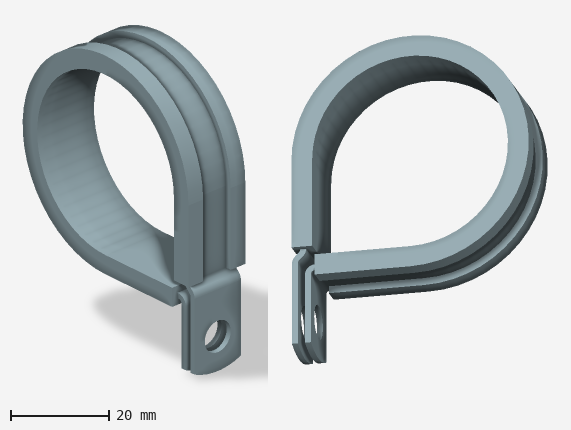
import cadquery as cq
import math

outer_radius = 24.95
inner_radius = 20.6
cushion_width = 15.75
groove_width = 7.65
groove_depth = 1.5
vertical_leg = 18.7
horizontal_leg = 20.05

strap_thickness = 1.25
strap_width = 12.8
strap_outer = outer_radius - groove_depth
strap_inner = strap_outer - strap_thickness

overall_height = 65.3
bottom_z = outer_radius - overall_height
inner_tab_face = 22.45
outer_tab_face = 25.2
elbow_inside_radius = 0.85
jog_inside_radius = 0.88
jog_angle = math.radians(45)
hole_diameter = 7.2
hole_above_bottom = 7.9
tab_end_rise = 1.4


def extrude_centred(profile, width):
    return profile.extrude(width / 2, both=True)


def loop_band(inside, outside, width):
    """Three-quarter loop with a straight leg at each end."""
    profile = (
        cq.Workplane("XZ")
        .moveTo(outside, -vertical_leg)
        .lineTo(outside, 0)
        .threePointArc((0, outside), (-outside, 0))
        .threePointArc((-outside * math.sqrt(0.5), -outside * math.sqrt(0.5)), (0, -outside))
        .lineTo(horizontal_leg, -outside)
        .lineTo(horizontal_leg, -inside)
        .lineTo(0, -inside)
        .threePointArc((-inside * math.sqrt(0.5), -inside * math.sqrt(0.5)), (-inside, 0))
        .threePointArc((0, inside), (inside, 0))
        .lineTo(inside, -vertical_leg)
        .close()
    )
    return extrude_centred(profile, width)


def inner_tab():
    """Strap turned down from the horizontal leg by a rounded elbow."""
    elbow_outside_radius = elbow_inside_radius + strap_thickness
    bend_x = inner_tab_face - elbow_outside_radius
    bend_z = -strap_inner - elbow_outside_radius
    profile = (
        cq.Workplane("XZ")
        .moveTo(horizontal_leg, -strap_inner)
        .lineTo(bend_x, -strap_inner)
        .tangentArcPoint((inner_tab_face, bend_z), relative=False)
        .lineTo(inner_tab_face, bottom_z)
        .lineTo(inner_tab_face - strap_thickness, bottom_z)
        .lineTo(inner_tab_face - strap_thickness, bend_z)
        .tangentArcPoint((bend_x, -strap_outer), relative=False)
        .lineTo(horizontal_leg, -strap_outer)
        .close()
    )
    return extrude_centred(profile, strap_width)


def outer_tab():
    """Strap jogged outward below the vertical leg by two opposite bends."""
    near = jog_inside_radius
    far = jog_inside_radius + strap_thickness
    sine = math.sin(jog_angle)
    cosine = math.cos(jog_angle)
    offset = outer_tab_face - strap_outer
    slope_x = offset - (near + far) * (1 - cosine)
    slope_drop = slope_x / math.tan(jog_angle)
    jog_drop = (near + far) * sine + slope_drop
    end_z = -vertical_leg - jog_drop
    inner_face = outer_tab_face - strap_thickness
    outer_upper_end = (strap_outer + near * (1 - cosine), -vertical_leg - near * sine)
    outer_lower_start = (outer_upper_end[0] + slope_x, outer_upper_end[1] - slope_drop)
    inner_lower_start = (inner_face - near * (1 - cosine), end_z + near * sine)
    inner_upper_end = (inner_lower_start[0] - slope_x, inner_lower_start[1] + slope_drop)
    profile = (
        cq.Workplane("XZ")
        .moveTo(strap_outer, -vertical_leg)
        .radiusArc(outer_upper_end, -near)
        .lineTo(*outer_lower_start)
        .radiusArc((outer_tab_face, end_z), far)
        .lineTo(outer_tab_face, bottom_z)
        .lineTo(inner_face, bottom_z)
        .lineTo(inner_face, end_z)
        .radiusArc(inner_lower_start, -near)
        .lineTo(*inner_upper_end)
        .radiusArc((strap_inner, -vertical_leg), far)
        .close()
    )
    return extrude_centred(profile, strap_width)


def tab_outline():
    """Block with the tab outline: a rounded lower end and a bolt hole."""
    half_width = strap_width / 2
    shoulder_z = bottom_z + tab_end_rise
    return (
        cq.Workplane("YZ")
        .moveTo(-half_width, 0)
        .lineTo(-half_width, shoulder_z)
        .threePointArc((0, bottom_z), (half_width, shoulder_z))
        .lineTo(half_width, 0)
        .close()
        .moveTo(0, bottom_z + hole_above_bottom)
        .circle(hole_diameter / 2)
        .extrude(outer_tab_face)
    )


cushion = loop_band(inner_radius, outer_radius, cushion_width)
groove = loop_band(strap_outer, outer_radius, groove_width)
tabs = inner_tab().union(outer_tab()).intersect(tab_outline())
result = cushion.cut(groove).union(tabs)